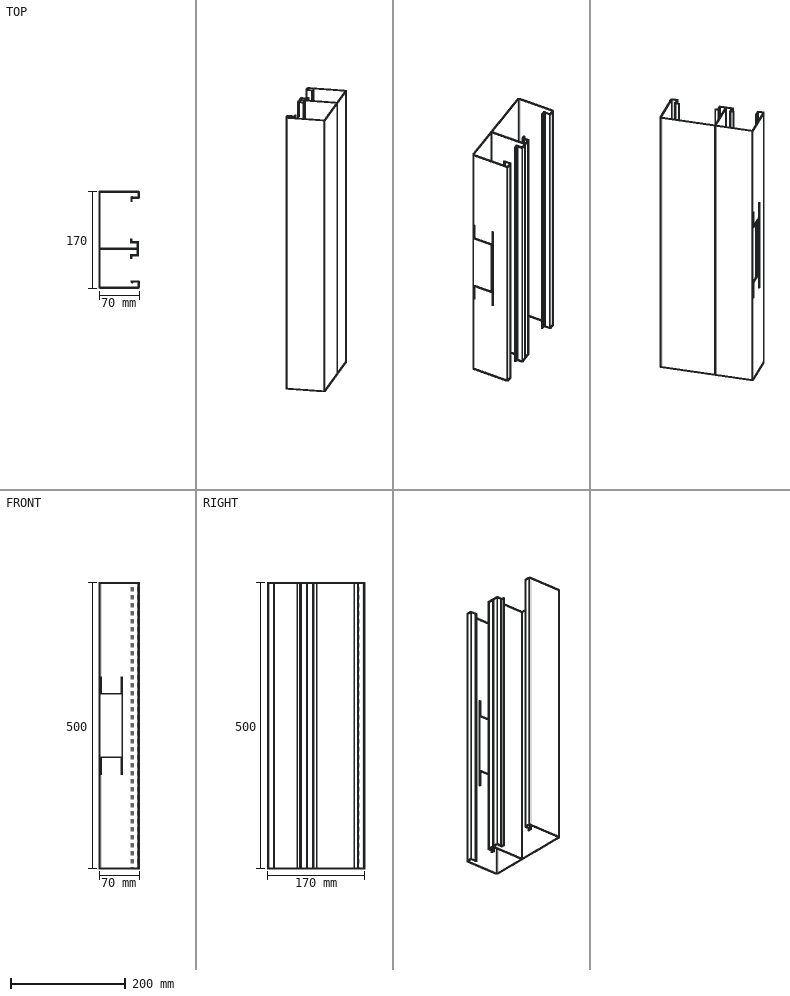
import cadquery as cq

length = 500.0
depth = 70.0
width = 170.0
back_wall = 1.0
side_wall = 1.5
corner_radius = 3.0

rim_width = 12.0
rim_wall = 1.5
rim_radius = 1.2
lip_wall = 1.0
lip_tip_x = 56.5
barb_length = 3.0
barb_height = 1.0
rear_hook_length = 6.0
rear_hook_wall = 0.8

window_height = 111.0
slot_height = 170.0
cutout_end_x = 40.3
inner_slot_end_x = 4.0
outer_slot_width = 1.5

divider_y = 69.0
web_wall = 1.5
head_x = 68.5
head_wall = 1.5
head_width = 24.5
head_lip_wall = 2.0
head_neck_wall = 1.2
head_neck_length = 2.0
head_hook_wall = 1.5
head_hook_x = 55.8
head_hook_length = 4.5


def block(x_start, x_end, y_start, y_end, height=length):
    """Upright block between two X and two Y positions, centred on mid-length."""
    return (
        cq.Workplane("XY")
        .box(x_end - x_start, y_end - y_start, height, centered=(False, False, True))
        .translate((x_start, y_start, length / 2))
    )


def make_channel_shell():
    """Back, side walls and rims of the channel, before the lips are added."""
    outer = block(0, depth, 0, width).edges("|Z").fillet(corner_radius)
    cavity = block(back_wall, depth - rim_wall, side_wall, width - side_wall)
    mouth = block(depth / 2, depth, rim_width, width - rim_width)
    mouth_corners = block(depth - rim_radius, depth, rim_width - rim_radius, width - rim_width + rim_radius)
    return outer.cut(cavity).cut(mouth).cut(mouth_corners)


def make_front_lip():
    """Lip turned inwards from the front rim, with a barb at its tip facing the front wall."""
    inner_y = rim_width - lip_wall
    lip = (
        block(lip_tip_x, depth, inner_y - rim_radius, rim_width)
        .edges("|Z and >X and >Y")
        .fillet(rim_radius)
        .cut(block(lip_tip_x, depth - rim_wall, inner_y - rim_radius, inner_y))
    )
    barb = (
        cq.Workplane("XY")
        .moveTo(lip_tip_x, inner_y)
        .lineTo(lip_tip_x + barb_length, inner_y)
        .lineTo(lip_tip_x + barb_length / 2, inner_y - barb_height)
        .close()
        .extrude(length)
    )
    return lip.union(barb)


def make_rear_lip():
    """Mirror image of the front lip, with a thin hook at its tip."""
    lip = make_front_lip().mirror("XZ", (0, width / 2, 0))
    lip_y = width - rim_width
    hook = block(lip_tip_x, lip_tip_x + rear_hook_wall, lip_y - rear_hook_length, lip_y + lip_wall)
    return lip.union(hook)


def make_front_cutout():
    window = block(back_wall, cutout_end_x, 0, side_wall, window_height)
    inner_slot = block(back_wall, inner_slot_end_x, 0, side_wall, slot_height)
    outer_slot = block(cutout_end_x - outer_slot_width, cutout_end_x, 0, side_wall, slot_height)
    return window.union(inner_slot).union(outer_slot)


def make_channel():
    shell = make_channel_shell()
    return shell.union(make_front_lip()).union(make_rear_lip()).cut(make_front_cutout())


def make_head_lip():
    """Hooked lip on the +Y end of the divider head."""
    outer_y = divider_y + head_width / 2
    inner_y = outer_y - head_lip_wall
    neck_start = head_hook_x + head_hook_wall
    thick_start = neck_start + head_neck_length
    thick_part = block(thick_start, head_x, inner_y, outer_y)
    neck = block(head_hook_x, thick_start, inner_y, inner_y + head_neck_wall)
    hook = block(head_hook_x, neck_start, inner_y, outer_y + head_hook_length)
    return thick_part.union(neck).union(hook)


def make_divider():
    web = block(back_wall, head_x, divider_y - web_wall / 2, divider_y + web_wall / 2)
    head = block(head_x - head_wall, head_x, divider_y - head_width / 2, divider_y + head_width / 2)
    lip = make_head_lip()
    opposite_lip = lip.mirror("XZ", (0, divider_y, 0))
    return web.union(head).union(lip).union(opposite_lip)


channel = make_channel()
divider = make_divider()
result = cq.Compound.makeCompound([channel.val(), divider.val()])